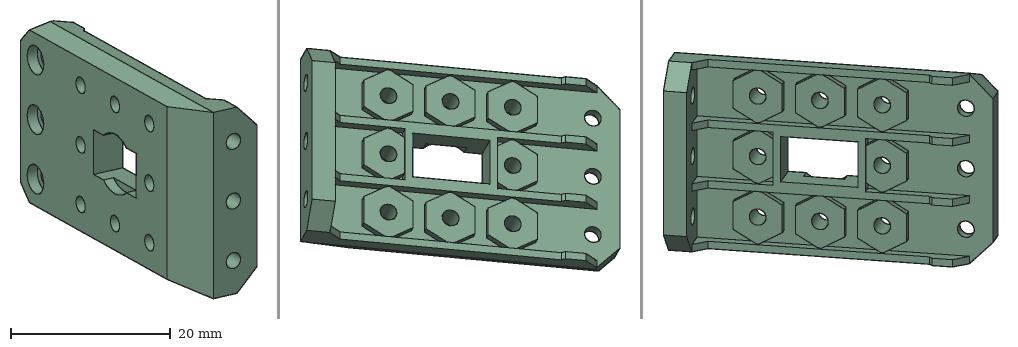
import cadquery as cq
import math


LENGTH = 41.0
DEPTH = 9.0
WIDTH = 25.0

PLATE = 3.0
BEVEL_DEPTH = 2.5
BEVEL_ANGLE = 20.0
END_SLOPE = BEVEL_DEPTH / math.tan(math.radians(BEVEL_ANGLE))
EDGE_BEVEL = BEVEL_DEPTH * math.tan(math.radians(BEVEL_ANGLE))
LIP_X = LENGTH - PLATE

RIB = 1.0
RIB_TOP = 4.35
RIDGE_TOP = 4.8
RIDGE_END = 7.42
RIB_COUNT = 4
RIB_PITCH = (WIDTH - RIB) / (RIB_COUNT - 1)
BAY = RIB_PITCH - RIB
RIB_Z = [(row - (RIB_COUNT - 1) / 2) * RIB_PITCH for row in range(RIB_COUNT)]

PITCH = 8.0
HOLE_DIAMETER = 2.15
SCREW_X = 3.5
SCREW_HEAD_DIAMETER = 3.8
SCREW_HEAD_DEPTH = 1.5
LIP_HOLE_Y = 5.5
ROW_Z = [-PITCH, 0, PITCH]

WINDOW_X = 22.0
WINDOW_LENGTH = 9.92
WINDOW_WIDTH = 6.0
WINDOW_WALL = 1.0
RECESS_DIAMETER = PITCH
RECESS_DEPTH = 1.48
GRID = [
    (WINDOW_X + column * PITCH, row * PITCH)
    for column in (-1, 0, 1)
    for row in (-1, 0, 1)
    if (column, row) != (0, 0)
]

HEX_CORNERS = 7.3
HEX_TOP = 3.98


def prism_across(outline, thickness, z):
    """Extrude an XY outline along Z, centred on the given Z."""
    return cq.Workplane("XY", origin=(0, 0, z)).polyline(outline).close().extrude(thickness / 2, both=True)


def at_depth(y, points):
    """XZ workplane at depth y, with a point at each (x, z)."""
    return cq.Workplane("XZ", origin=(0, y, 0)).pushPoints(points)


def bores(diameter, points, depth):
    """Round cutters going back from the front face at each (x, z)."""
    return at_depth(0, points).circle(diameter / 2).extrude(-depth)


def plate_with_lip():
    """Plate with a sloped front end and a lip standing up at the back of that end."""
    outline = [
        (0, 0),
        (LENGTH - END_SLOPE, 0),
        (LENGTH, BEVEL_DEPTH),
        (LENGTH, DEPTH),
        (LIP_X, DEPTH),
        (LIP_X, PLATE),
        (0, PLATE),
    ]
    return prism_across(outline, WIDTH, 0)


def rib(z):
    """Rib with a sloped ridge at the left and a 45 degree rise into the lip."""
    lip_foot = DEPTH - PLATE
    outline = [
        (PLATE, PLATE),
        (RIDGE_TOP, RIDGE_TOP),
        (RIDGE_END, RIDGE_TOP),
        (RIDGE_END + RIDGE_TOP - RIB_TOP, RIB_TOP),
        (LIP_X - (lip_foot - RIB_TOP), RIB_TOP),
        (LIP_X, lip_foot),
        (LIP_X, PLATE),
    ]
    return prism_across(outline, RIB, z)


def corner_cuts(side):
    """Cutters for the long bevel, plate corner and lip corner on one side (side = +1 or -1)."""
    edge = side * WIDTH / 2
    bevel = (
        cq.Workplane("YZ")
        .polyline([(0, edge), (BEVEL_DEPTH, edge), (0, edge - side * EDGE_BEVEL)])
        .close()
        .extrude(LENGTH)
    )
    plate_corner = (
        cq.Workplane("XZ")
        .polyline([(0, edge), (PLATE, edge), (0, edge - side * PLATE)])
        .close()
        .extrude(-DEPTH)
    )
    lip_corner = (
        cq.Workplane("YZ")
        .polyline([(DEPTH, edge), (DEPTH - PLATE, edge), (DEPTH, edge - side * PLATE)])
        .close()
        .extrude(LENGTH)
    )
    return bevel.union(plate_corner).union(lip_corner)


def hex_bosses():
    """Hexagons with flats facing -X and +X."""
    angles = [math.radians(90 + 60 * corner) for corner in range(6)]
    outline = [(HEX_CORNERS / 2 * math.cos(angle), HEX_CORNERS / 2 * math.sin(angle)) for angle in angles]
    hexagon = cq.Workplane("XZ").polyline(outline).close().extrude(PLATE - HEX_TOP)
    bosses = cq.Workplane("XZ")
    for x, z in GRID:
        bosses = bosses.union(hexagon.translate((x, PLATE, z)))
    return bosses


def window_frame():
    """Raised frame filling the middle bay around the window, flush with the ribs."""
    length = WINDOW_LENGTH + 2 * WINDOW_WALL
    return at_depth(PLATE, [(WINDOW_X, 0)]).rect(length, BAY).extrude(PLATE - RIB_TOP)


def window_cut():
    opening = at_depth(0, [(WINDOW_X, 0)]).rect(WINDOW_LENGTH, WINDOW_WIDTH).extrude(-DEPTH)
    return opening.union(bores(RECESS_DIAMETER, [(WINDOW_X, 0)], RECESS_DEPTH))


def lip_holes():
    """Holes through the lip along X."""
    points = [(LIP_HOLE_Y, z) for z in ROW_Z]
    return cq.Workplane("YZ", origin=(LIP_X, 0, 0)).pushPoints(points).circle(HOLE_DIAMETER / 2).extrude(PLATE)


body = plate_with_lip().union(hex_bosses()).union(window_frame())
for rib_z in RIB_Z:
    body = body.union(rib(rib_z))

for side in (1, -1):
    body = body.cut(corner_cuts(side))

screws = [(SCREW_X, z) for z in ROW_Z]
body = body.cut(bores(HOLE_DIAMETER, screws + GRID, DEPTH))
body = body.cut(bores(SCREW_HEAD_DIAMETER, screws, SCREW_HEAD_DEPTH))
body = body.cut(window_cut()).cut(lip_holes())

result = body